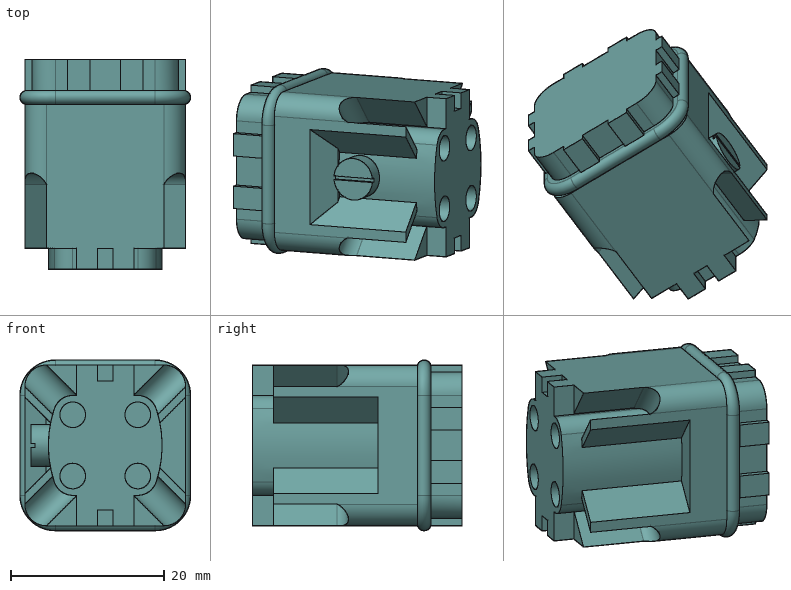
import cadquery as cq
import math

LENGTH = 27.4
FRONT_Y = -LENGTH / 2
BACK_Y = LENGTH / 2

RING_WIDTH = 22.3
RING_SECTION_RADIUS = 0.9
RING_Y = 8.75
RING_CORNER_TANGENT = 6.52
RING_FRONT_Y = RING_Y - RING_SECTION_RADIUS
RING_BACK_Y = RING_Y + RING_SECTION_RADIUS

BODY_WIDTH = 21.0
BODY_HALF = BODY_WIDTH / 2
BODY_CORNER_RADIUS = 2.8
BODY_FRONT_Y = FRONT_Y + 2.75

PLUG_WIDTH = 19.13
PLUG_CORNER_RADIUS = PLUG_WIDTH / 2 - RING_CORNER_TANGENT
PAD_INNER = 2.0
PAD_OUTER = 4.95
PAD_WIDTH = PAD_OUTER - PAD_INNER
PAD_CENTER = (PAD_INNER + PAD_OUTER) / 2
PAD_OVERLAP = 1.37

HOLE_DIAMETER = 3.35
HOLE_DEPTH = 2.0
HOLE_X = 4.25
HOLE_Z = 4.0
CORE_TOP = 6.52
CORE_HALF_WIDTH = 7.43
CORE_CORNER_RADIUS = CORE_TOP - HOLE_Z
CORE_BACK_Y = 5.48

WEB_WIDTH = 7.5
NOTCH_WIDTH = 2.08
NOTCH_DEPTH = 2.08

SLOT_WIDTH = 4.0
SLOT_STRAIGHT_END_Y = -2.65
SLOT_END_BULGE = 1.5
SLOT_INNER = math.hypot(HOLE_X, HOLE_Z)
SLOT_OUTER = BODY_WIDTH

POCKET_HALF_HEIGHT = 6.3
POCKET_FLOOR_X = 5.48
POCKET_BACK_Y = 2.75
POCKET_SLOPE = 2.75

SCREW_DIAMETER = 5.5
SCREW_Y = -3.07
SCREW_TOP_X = -9.67
DRIVER_SLOT_WIDTH = 0.5
DRIVER_SLOT_DEPTH = 0.52


def section(back_y):
    """XZ sketch plane at back_y; positive extrusion runs toward the front (-Y)."""
    return cq.Workplane("XZ", origin=(0, back_y, 0))


def rounded_square(width, corner_radius, back_y, front_y):
    block = section(back_y).rect(width, width).extrude(back_y - front_y)
    return block.edges("|Y").fillet(corner_radius)


def seal_ring():
    """Round tube around a rounded square, filled in by a slab of the same thickness."""
    tube_half = RING_WIDTH / 2 - RING_SECTION_RADIUS
    tube_corner_radius = tube_half - RING_CORNER_TANGENT
    slab = rounded_square(2 * tube_half, tube_corner_radius, RING_BACK_Y, RING_FRONT_Y)
    path = section(RING_Y).rect(2 * tube_half, 2 * tube_half).extrude(RING_SECTION_RADIUS)
    path = path.edges("|Y").fillet(tube_corner_radius).faces(">Y").wires()
    tube = cq.Workplane("YZ", origin=(0, RING_Y, tube_half)).circle(RING_SECTION_RADIUS).sweep(path)
    return slab.union(tube)


def mating_end():
    plug = rounded_square(PLUG_WIDTH, PLUG_CORNER_RADIUS, BACK_Y, RING_FRONT_Y)
    pad_height = BODY_HALF - PLUG_WIDTH / 2 + PAD_OVERLAP
    for quarter in range(4):
        for side in (-1, 1):
            pad = (
                section(BACK_Y)
                .center(side * PAD_CENTER, BODY_HALF - pad_height / 2)
                .rect(PAD_WIDTH, pad_height)
                .extrude(BACK_Y - RING_BACK_Y)
            )
            plug = plug.union(pad.rotate((0, 0, 0), (0, 1, 0), 90 * quarter))
    return plug


def core():
    """Oval column: four corner arcs around the holes, blended into bowed sides."""
    reach = CORE_HALF_WIDTH - HOLE_X
    bow_radius = (HOLE_Z**2 + reach**2 - CORE_CORNER_RADIUS**2) / (2 * (reach - CORE_CORNER_RADIUS))
    blend_angle = math.atan2(HOLE_Z, bow_radius - reach)
    middle_angle = (blend_angle + math.pi / 2) / 2

    def corner_point(angle, x_sign, z_sign):
        x = HOLE_X + CORE_CORNER_RADIUS * math.cos(angle)
        z = HOLE_Z + CORE_CORNER_RADIUS * math.sin(angle)
        return (x_sign * x, z_sign * z)

    return (
        section(CORE_BACK_Y)
        .moveTo(-HOLE_X, CORE_TOP)
        .lineTo(HOLE_X, CORE_TOP)
        .threePointArc(corner_point(middle_angle, 1, 1), corner_point(blend_angle, 1, 1))
        .threePointArc((CORE_HALF_WIDTH, 0), corner_point(blend_angle, 1, -1))
        .threePointArc(corner_point(middle_angle, 1, -1), (HOLE_X, -CORE_TOP))
        .lineTo(-HOLE_X, -CORE_TOP)
        .threePointArc(corner_point(middle_angle, -1, -1), corner_point(blend_angle, -1, -1))
        .threePointArc((-CORE_HALF_WIDTH, 0), corner_point(blend_angle, -1, 1))
        .threePointArc(corner_point(middle_angle, -1, 1), (-HOLE_X, CORE_TOP))
        .close()
        .extrude(CORE_BACK_Y - FRONT_Y)
    )


def web():
    plate = section(CORE_BACK_Y).rect(WEB_WIDTH, BODY_WIDTH).extrude(CORE_BACK_Y - FRONT_Y)
    notches = (
        section(BODY_FRONT_Y)
        .pushPoints([(0, BODY_HALF), (0, -BODY_HALF)])
        .rect(NOTCH_WIDTH, 2 * NOTCH_DEPTH)
        .extrude(BODY_FRONT_Y - FRONT_Y)
    )
    return plate.cut(notches)


def corner_slot(angle):
    """Slot with a bowed end, running in from the front, cut from the corner toward the axis."""
    half_width = SLOT_WIDTH / 2
    slot = (
        cq.Workplane("XY", origin=(0, 0, SLOT_INNER))
        .moveTo(-half_width, FRONT_Y)
        .lineTo(half_width, FRONT_Y)
        .lineTo(half_width, SLOT_STRAIGHT_END_Y)
        .threePointArc((0, SLOT_STRAIGHT_END_Y + SLOT_END_BULGE), (-half_width, SLOT_STRAIGHT_END_Y))
        .close()
        .extrude(SLOT_OUTER - SLOT_INNER)
    )
    return slot.rotate((0, 0, 0), (0, 1, 0), angle)


def side_pocket(side):
    depth = BODY_HALF - POCKET_FLOOR_X
    floor_half_height = POCKET_HALF_HEIGHT - depth
    return (
        section(POCKET_BACK_Y)
        .moveTo(side * BODY_HALF, POCKET_HALF_HEIGHT)
        .lineTo(side * BODY_HALF, -POCKET_HALF_HEIGHT)
        .lineTo(side * POCKET_FLOOR_X, -floor_half_height)
        .lineTo(side * POCKET_FLOOR_X, floor_half_height)
        .close()
        .extrude(POCKET_BACK_Y - FRONT_Y)
    )


def pocket_ramp():
    """Sloped end wall of the -X pocket, meeting a square step above the core."""
    ramp_start_y = POCKET_BACK_Y - POCKET_SLOPE
    return (
        cq.Workplane("XY", origin=(0, 0, -POCKET_HALF_HEIGHT))
        .moveTo(-BODY_HALF, POCKET_BACK_Y)
        .lineTo(-BODY_HALF + POCKET_SLOPE, ramp_start_y)
        .lineTo(-POCKET_FLOOR_X, ramp_start_y)
        .lineTo(-POCKET_FLOOR_X, POCKET_BACK_Y)
        .close()
        .extrude(2 * POCKET_HALF_HEIGHT)
    )


def screw_head():
    head = (
        cq.Workplane("YZ", origin=(SCREW_TOP_X, SCREW_Y, 0))
        .circle(SCREW_DIAMETER / 2)
        .extrude(-SCREW_TOP_X - POCKET_FLOOR_X)
    )
    driver_slot = cq.Workplane("XY", origin=(SCREW_TOP_X, SCREW_Y, 0)).box(
        2 * DRIVER_SLOT_DEPTH, SCREW_DIAMETER, DRIVER_SLOT_WIDTH
    )
    return head.cut(driver_slot)


def contact_holes():
    return (
        section(FRONT_Y + HOLE_DEPTH)
        .rect(2 * HOLE_X, 2 * HOLE_Z, forConstruction=True)
        .vertices()
        .circle(HOLE_DIAMETER / 2)
        .extrude(HOLE_DEPTH)
    )


body = rounded_square(BODY_WIDTH, BODY_CORNER_RADIUS, RING_FRONT_Y, BODY_FRONT_Y)
for slot_angle in (45, 135, 225, 315):
    body = body.cut(corner_slot(slot_angle))
body = body.cut(side_pocket(-1).cut(pocket_ramp()))
body = body.cut(side_pocket(1))

result = (
    body.union(core())
    .union(web())
    .union(mating_end())
    .union(seal_ring())
    .union(screw_head())
    .cut(contact_holes())
)